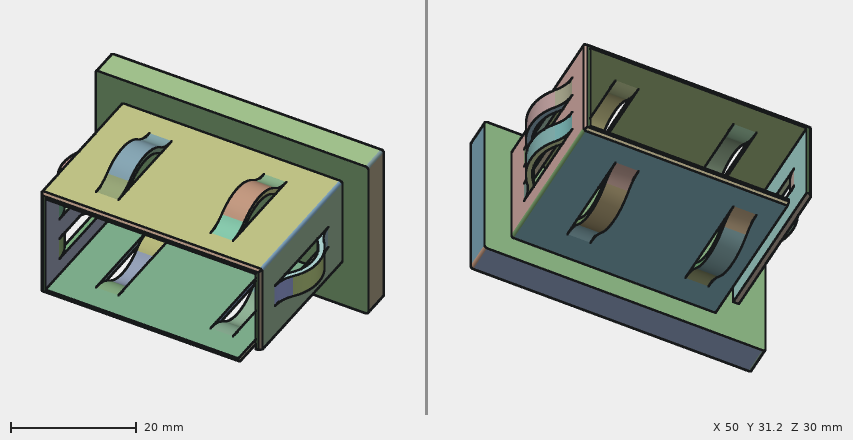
import cadquery as cq
import math

plate_width = 50.0
plate_height = 30.0
plate_thickness = 5.0
plate_corner_radius = 0.5

sleeve_width = 40.5
sleeve_height = 20.5
wall = 1.0
part_depth = 31.2
sleeve_edge_radius = 0.5
mouth_chamfer = 0.5
corner_notch = 4.15

clip_width = 4.1
clip_length = 17.2
clip_crown_length = 10.0
clip_rise = 3.05
clip_center = 18.15
long_side_clip_spacing = 21.0
left_clip_spacing = 8.1
right_clip_height = 2.05

sleeve_length = part_depth - plate_thickness


def bowed_profile(depth):
    """Strip outline in local (u, v): u along the wall, v outward, measured at the given depth."""
    half_length = clip_length / 2
    sweep = 2 * math.atan(clip_rise / half_length)
    crown_radius = clip_crown_length / 2 / math.sin(sweep)
    foot_radius = (half_length - clip_crown_length / 2) / math.sin(sweep)
    inner_crown = crown_radius - depth
    inner_foot = foot_radius + depth

    crown_center_v = clip_rise - crown_radius
    joint = (inner_crown * math.sin(sweep), crown_center_v + inner_crown * math.cos(sweep))
    foot_middle = (
        half_length - inner_foot * math.sin(sweep / 2),
        foot_radius - inner_foot * math.cos(sweep / 2),
    )
    return {
        "foot": (half_length, -depth),
        "foot_middle": foot_middle,
        "joint": joint,
        "crown": (0, clip_rise - depth),
    }


def mirrored(point):
    return (-point[0], point[1])


def bowed_strip():
    """Clip centred on the origin: length along Y, width along X, outer wall face at z = 0."""
    outer = bowed_profile(0)
    inner = bowed_profile(wall)
    return (
        cq.Workplane("YZ")
        .moveTo(*mirrored(outer["foot"]))
        .threePointArc(mirrored(outer["foot_middle"]), mirrored(outer["joint"]))
        .threePointArc(outer["crown"], outer["joint"])
        .threePointArc(outer["foot_middle"], outer["foot"])
        .lineTo(*inner["foot"])
        .threePointArc(inner["foot_middle"], inner["joint"])
        .threePointArc(inner["crown"], mirrored(inner["joint"]))
        .threePointArc(mirrored(inner["foot_middle"]), mirrored(inner["foot"]))
        .close()
        .extrude(clip_width / 2, both=True)
    )


def clip_window():
    """Opening in the wall that the clip is bent out of."""
    return cq.Workplane("XY").box(clip_width, clip_length, wall).translate((0, 0, -wall / 2))


def place_on_wall(shape, turn, wall_distance, offset):
    """Move a shape onto the wall found by turning the top wall about the Y axis."""
    raised = shape.translate((offset, -clip_center, wall_distance))
    return raised.rotate((0, 0, 0), (0, 1, 0), turn)


def make_plate():
    plate = cq.Workplane("XY").box(plate_width, plate_thickness, plate_height)
    plate = plate.edges("|Y").fillet(plate_corner_radius)
    return plate.translate((0, -plate_thickness / 2, 0))


def make_sleeve():
    block = cq.Workplane("XY").box(sleeve_width, sleeve_length, sleeve_height)
    rounded = block.edges("|Y").fillet(sleeve_edge_radius)
    sleeve = block.faces("<Y").chamfer(mouth_chamfer).intersect(rounded)
    cavity = cq.Workplane("XY").box(sleeve_width - 2 * wall, sleeve_length, sleeve_height - 2 * wall)
    notch = (
        cq.Workplane("XY")
        .box(corner_notch, sleeve_length, corner_notch)
        .translate(((sleeve_width - corner_notch) / 2, 0, (corner_notch - sleeve_height) / 2))
    )
    return sleeve.cut(cavity).cut(notch).translate((0, -plate_thickness - sleeve_length / 2, 0))


half_long = long_side_clip_spacing / 2
half_left = left_clip_spacing / 2
clip_layout = [
    (0, sleeve_height / 2, (-half_long, half_long)),
    (180, sleeve_height / 2, (-half_long, half_long)),
    (-90, sleeve_width / 2, (-half_left, half_left)),
    (90, sleeve_width / 2, (-right_clip_height,)),
]

result = make_plate().union(make_sleeve())
strip = bowed_strip()
window = clip_window()
for turn, wall_distance, offsets in clip_layout:
    for offset in offsets:
        result = result.cut(place_on_wall(window, turn, wall_distance, offset))
        result = result.union(place_on_wall(strip, turn, wall_distance, offset))